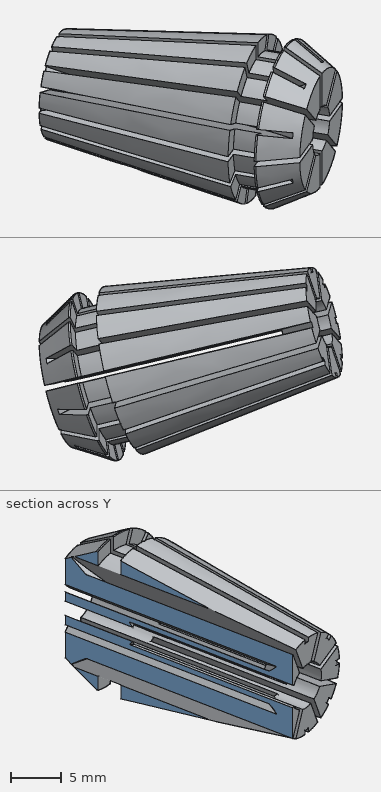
import cadquery as cq
import math

LENGTH = 27.5
MAX_RADIUS = 8.5
BORE_RADIUS = 2.5

TAPER_LENGTH = 20.8
TAPER_HALF_ANGLE = 8.0
GROOVE_END = 23.5
GROOVE_RADIUS = 6.9
RIM_WIDTH = 0.2
REAR_HALF_ANGLE = 30.0

SLOTS_PER_SET = 8
SLOT_PITCH = 360.0 / SLOTS_PER_SET
SLOT_WIDTH = 0.58
CUTTER_RADIUS = 33.55
CUT_CLEARANCE = 0.28

FRONT_SLOT_REAR_WALL = 0.75
FRONT_CUTTER_OFFSET = CUTTER_RADIUS

NOTCH_FLOOR_RADIUS = 5.12
REAR_CUTTER_OFFSET = 31.27

FRONT_RADIUS = MAX_RADIUS - TAPER_LENGTH * math.tan(math.radians(TAPER_HALF_ANGLE))
RIM_END = GROOVE_END + RIM_WIDTH
REAR_SLOPE = math.tan(math.radians(REAR_HALF_ANGLE))
REAR_RADIUS = MAX_RADIUS - (LENGTH - RIM_END) * REAR_SLOPE


def collet_body():
    """Revolve the bored half section around the X axis."""
    section = [
        (0, BORE_RADIUS),
        (0, FRONT_RADIUS),
        (TAPER_LENGTH, MAX_RADIUS),
        (TAPER_LENGTH, GROOVE_RADIUS),
        (GROOVE_END, GROOVE_RADIUS),
        (GROOVE_END, MAX_RADIUS),
        (RIM_END, MAX_RADIUS),
        (LENGTH, REAR_RADIUS),
        (LENGTH, BORE_RADIUS),
    ]
    return cq.Workplane("XY").polyline(section).close().revolve(360, (0, 0, 0), (1, 0, 0))


def cut_slots(body, end_x, end_radius, cutter_offset, open_x, first_angle):
    """Cut one set of slots, open at open_x and rounded at the blind end.

    The rounded end passes through (end_x, end_radius), and the cutter centre
    lies cutter_offset away from the collet axis.
    """
    toward_end = math.copysign(1, end_x - open_x)

    def cutter_reach(radius):
        """Axial distance from cutter centre to cutter edge at a given radius."""
        return math.sqrt(CUTTER_RADIUS**2 - (cutter_offset - radius) ** 2)

    cutter_x = end_x - toward_end * cutter_reach(end_radius)

    def edge_point(radius):
        return (cutter_x + toward_end * cutter_reach(radius), radius)

    inner = BORE_RADIUS / 2
    outer = MAX_RADIUS + CUT_CLEARANCE
    clear_x = open_x - toward_end * CUT_CLEARANCE
    slot = (
        cq.Workplane("XZ")
        .moveTo(clear_x, inner)
        .lineTo(*edge_point(inner))
        .threePointArc(edge_point((inner + outer) / 2), edge_point(outer))
        .lineTo(clear_x, outer)
        .close()
        .extrude(SLOT_WIDTH / 2, both=True)
    )
    for index in range(SLOTS_PER_SET):
        angle = first_angle + index * SLOT_PITCH
        body = body.cut(slot.rotate((0, 0, 0), (1, 0, 0), angle))
    return body


result = collet_body()

front_slot_end = LENGTH - FRONT_SLOT_REAR_WALL
front_slot_end_radius = REAR_RADIUS + FRONT_SLOT_REAR_WALL * REAR_SLOPE
result = cut_slots(
    result, front_slot_end, front_slot_end_radius, FRONT_CUTTER_OFFSET, 0, SLOT_PITCH / 2
)

result = cut_slots(result, 0, NOTCH_FLOOR_RADIUS, REAR_CUTTER_OFFSET, LENGTH, 0)